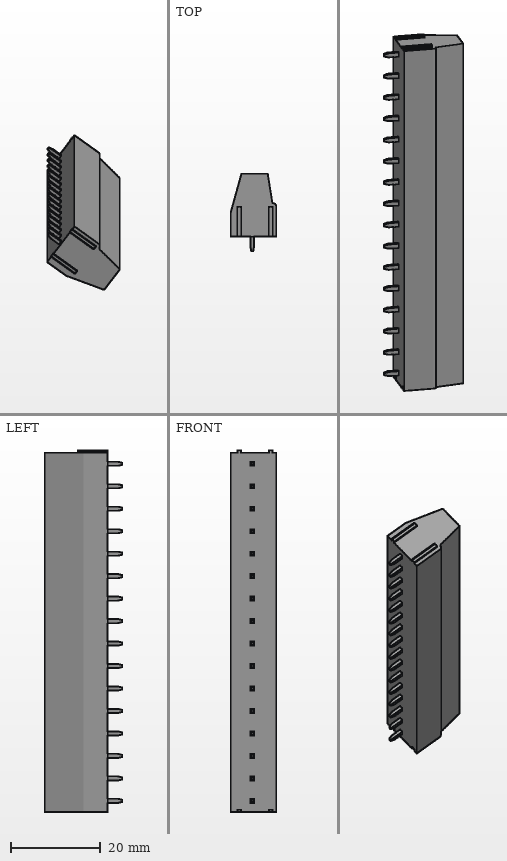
import cadquery as cq
import math

overall_height = 80.6
body_height = 80.0
body_width = 10.2
body_depth = 14.0
pin_count = 16
pin_length = 3.3

back_left_inset = 2.4
back_right_inset = 1.9
left_side_depth = 5.3
right_side_depth = 6.6
right_shoulder_radius = 0.9

rib_length = 6.6
rib_height = overall_height - body_height
flange_width = 1.0
flange_overhang = 0.12
rib_stem_height = 0.3
groove_lip_height = 0.25
rib_left_edges = (1.45, 8.5)

pin_pitch = body_height / pin_count
pin_position = 4.8
pin_width = 0.8
pin_thickness = 1.0
pin_tip_length = 1.0
pin_tip_width = 0.5
pin_tip_thickness = 0.5


def make_housing():
    """Constant cross-section narrowing toward the back, with a rounded shoulder on the right."""
    arc_center_x = body_width - right_shoulder_radius
    arc_middle_offset = right_shoulder_radius * math.sqrt(0.5)
    arc_middle = (arc_center_x + arc_middle_offset, right_side_depth + arc_middle_offset)
    arc_end = (arc_center_x, right_side_depth + right_shoulder_radius)
    return (
        cq.Workplane("XY")
        .lineTo(body_width, 0)
        .lineTo(body_width, right_side_depth)
        .threePointArc(arc_middle, arc_end)
        .lineTo(body_width - back_right_inset, body_depth)
        .lineTo(back_left_inset, body_depth)
        .lineTo(0, left_side_depth)
        .close()
        .extrude(body_height)
    )


def make_tee_bar(x_left, z_base, stem_height):
    """Bar running back from the front face, with a flange slightly wider than its stem."""
    x_right = x_left + flange_width
    stem_left = x_left + flange_overhang
    stem_right = x_right - flange_overhang
    profile = [
        (stem_left, z_base),
        (stem_right, z_base),
        (stem_right, z_base + stem_height),
        (x_right, z_base + stem_height),
        (x_right, z_base + rib_height),
        (x_left, z_base + rib_height),
        (x_left, z_base + stem_height),
        (stem_left, z_base + stem_height),
    ]
    return cq.Workplane("XZ").polyline(profile).close().extrude(-rib_length)


def make_pin(z_center):
    """Rectangular pin pointing forward, with a tapered tip."""
    shank_length = pin_length - pin_tip_length
    shank = (
        cq.Workplane("XZ")
        .center(pin_position, z_center)
        .rect(pin_width, pin_thickness)
        .extrude(shank_length)
    )
    tip = (
        cq.Workplane("XZ", origin=(pin_position, -shank_length, z_center))
        .rect(pin_width, pin_thickness)
        .workplane(offset=pin_tip_length)
        .rect(pin_tip_width, pin_tip_thickness)
        .loft()
    )
    return shank.union(tip)


result = make_housing()

for x_rib in rib_left_edges:
    result = result.union(make_tee_bar(x_rib, body_height, rib_stem_height))
    result = result.cut(make_tee_bar(x_rib, 0, groove_lip_height))

for pin_index in range(pin_count):
    result = result.union(make_pin((pin_index + 0.5) * pin_pitch))